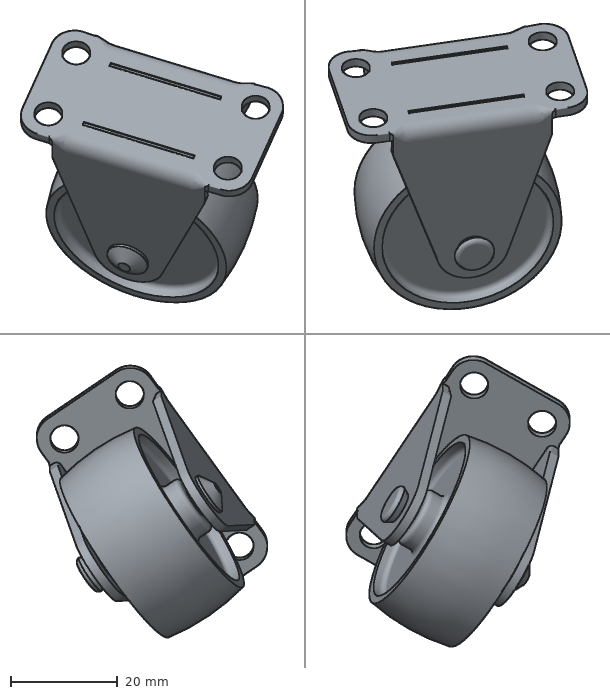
import cadquery as cq
import math


axle_z = -31.0
axle_radius = 3.0

sheet_thickness = 1.9

plate_length = 46.0
plate_width = 25.05
plate_corner_radius = 4.6
hole_radius = 2.65
hole_spacing_x = 35.95
hole_spacing_y = 14.95
groove_length = 22.15
groove_width = 0.7
groove_depth = 0.25
groove_spacing = 14.45

arm_outer_y = 12.75
arm_half_width = 15.25
arm_straight_height = 5.7
arm_end_radius = 7.0
arm_inner_y = arm_outer_y - sheet_thickness
web_length = 0.7
inner_round_radius = 1.0
inner_round_tip_radius = 0.05

bend_radius = 2.6
bend_end_radius = 0.4
bend_full_x = 12.0
bend_end_x = 16.45
bend_sections = 6

edge_round_radius = 0.25
edge_round_tip_radius = 0.05

wheel_width = 16.95
wheel_crown_radius = 18.9
wheel_edge_radius = 18.05
recess_radius = 16.45
recess_depth = 2.3
dish_fillet = 1.0
hub_radius = 5.8
hub_width = 19.95
hub_fillet = 0.95

rivet_length = 30.1
head_radius = 4.05
head_rim_height = 0.55
head_tip_radius = 1.2
tail_radius = 3.8
tail_round_radius = 0.9


def make_plate():
    """Flat top plate with rounded corners, four screw holes and two shallow grooves."""
    plate = (
        cq.Workplane("XY")
        .box(plate_length, plate_width, sheet_thickness, centered=(True, True, False))
        .translate((0, 0, -sheet_thickness))
        .edges("|Z")
        .fillet(plate_corner_radius)
    )
    holes = (
        cq.Workplane("XY")
        .rarray(hole_spacing_x, hole_spacing_y, 2, 2)
        .circle(hole_radius)
        .extrude(-sheet_thickness)
    )
    grooves = (
        cq.Workplane("XY")
        .rarray(0.5, groove_spacing, 1, 2)
        .rect(groove_length, groove_width)
        .extrude(-groove_depth)
    )
    return plate.cut(holes).cut(grooves)


def make_arm():
    """Arm on the +Y side: straight at the top, tapering tangentially into its round end."""
    rise = -arm_straight_height - axle_z
    reach = math.hypot(arm_half_width, rise)
    tangent_angle = math.atan2(rise, arm_half_width) - math.acos(arm_end_radius / reach)
    tangent_x = arm_end_radius * math.cos(tangent_angle)
    tangent_z = axle_z + arm_end_radius * math.sin(tangent_angle)
    return (
        cq.Workplane("XZ", origin=(0, arm_outer_y, 0))
        .moveTo(-arm_half_width, 0)
        .lineTo(arm_half_width, 0)
        .lineTo(arm_half_width, -arm_straight_height)
        .lineTo(tangent_x, tangent_z)
        .threePointArc((0, axle_z - arm_end_radius), (-tangent_x, tangent_z))
        .lineTo(-arm_half_width, -arm_straight_height)
        .close()
        .extrude(sheet_thickness)
    )


def make_webs():
    """Thin strip outside the plate edge whose slanted ends run it into the +Y arm sides."""
    half_plate = plate_width / 2
    return (
        cq.Workplane("XY")
        .moveTo(-arm_half_width - web_length, half_plate)
        .lineTo(-arm_half_width, arm_outer_y)
        .lineTo(arm_half_width, arm_outer_y)
        .lineTo(arm_half_width + web_length, half_plate)
        .close()
        .extrude(-sheet_thickness)
    )


def corner_wire(plane, radius):
    """Area between a square corner at the plane's origin and the arc that rounds it."""
    middle = radius * (1 - math.sqrt(0.5))
    return (
        cq.Workplane(plane)
        .moveTo(0, 0)
        .lineTo(-radius, 0)
        .threePointArc((-middle, -middle), (0, -radius))
        .close()
        .wire()
        .val()
    )


def long_edge_wire(x, y, radius):
    """Section, at position x, of the material removed to round a top edge that runs along X."""
    return corner_wire(cq.Plane((x, y, 0), (0, 1, 0), (1, 0, 0)), radius)


def bend_wire(step):
    """Bend section at a step of the cosine taper from full to end radius."""
    progress = step / (bend_sections - 1)
    x = bend_full_x + (bend_end_x - bend_full_x) * progress
    fullness = (1 + math.cos(math.pi * progress)) / 2
    radius = bend_end_radius + (bend_radius - bend_end_radius) * fullness
    return long_edge_wire(x, arm_outer_y, radius)


def make_bend_cutter():
    """Everything outside the rounded +Y bend."""
    middle = cq.Solid.makeLoft(
        [
            long_edge_wire(-bend_full_x, arm_outer_y, bend_radius),
            long_edge_wire(bend_full_x, arm_outer_y, bend_radius),
        ]
    )
    end = cq.Solid.makeLoft([bend_wire(step) for step in range(bend_sections)])
    return cq.Workplane(middle).add(end).add(end.mirror("YZ"))


def make_edge_round_cutter():
    """Rounding of the +Y plate edge, fading from the arm to the plate corner."""
    half_plate = plate_width / 2
    fade_x = plate_length / 2 - plate_corner_radius
    taper = cq.Solid.makeLoft(
        [
            long_edge_wire(arm_half_width + web_length, half_plate, edge_round_radius),
            long_edge_wire(fade_x, half_plate, edge_round_tip_radius),
        ],
        True,
    )
    return cq.Workplane(taper).add(taper.mirror("YZ"))


def make_inner_round_cutter():
    """Tapered rounding of the arm's inner upright edges, widest just under the plate."""
    def section(z, radius):
        corner = cq.Plane((arm_half_width, arm_inner_y, z), (1, 0, 0), (0, 0, -1))
        return corner_wire(corner, radius)

    taper = cq.Solid.makeLoft(
        [
            section(-sheet_thickness, inner_round_radius),
            section(-arm_straight_height, inner_round_tip_radius),
        ],
        True,
    )
    return cq.Workplane(taper).add(taper.mirror("YZ"))


def make_axle_bore(length):
    """Cylinder along the axle line, centred on Y = 0."""
    return (
        cq.Workplane("XZ", origin=(0, 0, axle_z))
        .circle(axle_radius)
        .extrude(length / 2, both=True)
    )


def make_bracket():
    """Plate with two arms, their bends rounded and the rivet holes bored."""
    bracket = make_plate()
    for addition in (make_arm(), make_webs()):
        bracket = bracket.union(addition).union(addition.mirror("XZ"))
    for cutter in (make_bend_cutter(), make_edge_round_cutter(), make_inner_round_cutter()):
        for solid in cutter.vals():
            bracket = bracket.cut(cq.Workplane(solid)).cut(cq.Workplane(solid.mirror("XZ")))
    return bracket.cut(make_axle_bore(2 * arm_outer_y))


def revolve_about_axle(profile):
    """Revolve a profile of (radius, Y) points about the axle line."""
    return profile.close().revolve(360, (0, 0, 0), (0, 1, 0)).translate((0, 0, axle_z))


def make_wheel():
    """Crowned wheel, dished on both sides round a hub that stands proud of the rim."""
    half_rim = wheel_width / 2
    half_hub = hub_width / 2
    half_web = half_rim - recess_depth
    dish_diagonal = dish_fillet * math.sqrt(0.5)
    recess_centre = (recess_radius - dish_fillet, half_web + dish_fillet)
    hub_diagonal = hub_fillet * math.sqrt(0.5)
    hub_centre = (hub_radius - hub_fillet, half_hub - hub_fillet)
    recess_middle = (recess_centre[0] + dish_diagonal, recess_centre[1] - dish_diagonal)
    foot_radius = hub_radius + dish_fillet
    foot_middle = (foot_radius - dish_diagonal, recess_centre[1] - dish_diagonal)
    hub_middle = (hub_centre[0] + hub_diagonal, hub_centre[1] + hub_diagonal)
    profile = (
        cq.Workplane("XY")
        .moveTo(axle_radius, half_hub)
        .lineTo(hub_centre[0], half_hub)
        .threePointArc(hub_middle, (hub_radius, hub_centre[1]))
        .lineTo(hub_radius, recess_centre[1])
        .threePointArc(foot_middle, (foot_radius, half_web))
        .lineTo(recess_centre[0], half_web)
        .threePointArc(recess_middle, (recess_radius, recess_centre[1]))
        .lineTo(recess_radius, half_rim)
        .lineTo(wheel_edge_radius, half_rim)
        .threePointArc((wheel_crown_radius, 0), (wheel_edge_radius, -half_rim))
        .lineTo(recess_radius, -half_rim)
        .lineTo(recess_radius, -recess_centre[1])
        .threePointArc((recess_middle[0], -recess_middle[1]), (recess_centre[0], -half_web))
        .lineTo(foot_radius, -half_web)
        .threePointArc((foot_middle[0], -foot_middle[1]), (hub_radius, -recess_centre[1]))
        .lineTo(hub_radius, -hub_centre[1])
        .threePointArc((hub_middle[0], -hub_middle[1]), (hub_centre[0], -half_hub))
        .lineTo(axle_radius, -half_hub)
    )
    return revolve_about_axle(profile)


def make_rivet():
    """Plain shank with a conical head on -Y and a flared, rounded tail on +Y."""
    rivet_half_length = rivet_length / 2
    tail_face_radius = tail_radius - tail_round_radius
    tail_round_y = rivet_half_length - tail_round_radius
    tail_diagonal = tail_round_radius * math.sqrt(0.5)
    profile = (
        cq.Workplane("XY")
        .moveTo(0, -rivet_half_length)
        .lineTo(head_tip_radius, -rivet_half_length)
        .lineTo(head_radius, -arm_outer_y - head_rim_height)
        .lineTo(head_radius, -arm_outer_y)
        .lineTo(axle_radius, -arm_outer_y)
        .lineTo(axle_radius, arm_outer_y)
        .lineTo(tail_radius, tail_round_y)
        .threePointArc(
            (tail_face_radius + tail_diagonal, tail_round_y + tail_diagonal),
            (tail_face_radius, rivet_half_length),
        )
        .lineTo(0, rivet_half_length)
    )
    return revolve_about_axle(profile)


bracket = make_bracket().solids()
wheel = make_wheel()
rivet = make_rivet()

result = cq.Compound.makeCompound([bracket.val(), wheel.val(), rivet.val()])